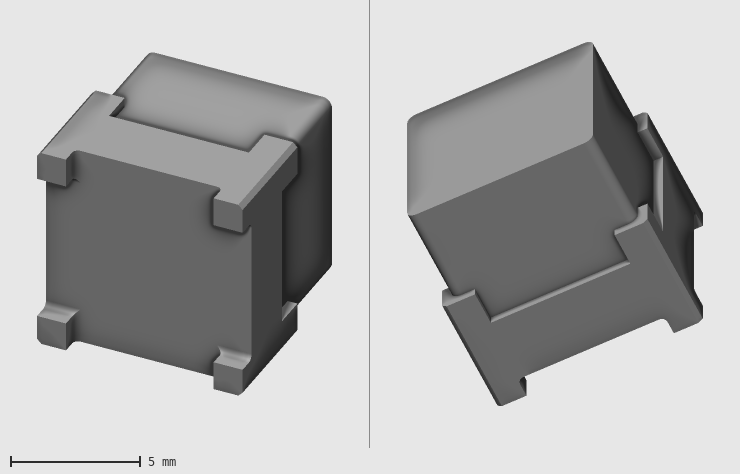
import cadquery as cq

width = 8.79
length = 8.84
front = -length / 2
back = length / 2

base_length = 4.89
base_chamfer = 0.19
foot_height = 0.8
foot_width = 1.24
foot_fillet = 0.25

cover_width = 7.96
cover_radius = 0.41

notch_depth = 1.4
notch_width = 5.98

base_back = front + base_length
seat = front + foot_height


def square_bar(size, y_start, y_end):
    """Square bar centred on the Y axis."""
    return cq.Workplane("XZ", origin=(0, y_start, 0)).rect(size, size).extrude(y_start - y_end)


def foot_row():
    """Two feet in XY, flared by fillets at the seat, running the full height in Z."""
    outer = width / 2
    inner = outer - foot_width
    row = cq.Workplane("XY")
    for side in (-1, 1):
        foot = (
            cq.Workplane("XY", origin=(0, 0, -width / 2))
            .moveTo(side * outer, front)
            .lineTo(side * inner, front)
            .lineTo(side * inner, seat - foot_fillet)
            .radiusArc((side * (inner - foot_fillet), seat), -side * foot_fillet)
            .lineTo(side * outer, seat)
            .close()
            .extrude(width)
        )
        row = row.add(foot)
    return row.combine()


def feet():
    """Corner feet, where two crossing foot rows overlap; their flares meet in mitres."""
    row = foot_row()
    return row.intersect(row.rotate((0, 0, 0), (0, 1, 0), 90))


def rim_notches():
    """One notch through the rim on each of the four sides."""
    along_x = cq.Workplane("XY").box(width, notch_depth, notch_width)
    along_z = cq.Workplane("XY").box(notch_width, notch_depth, width)
    return along_x.union(along_z).translate((0, base_back - notch_depth / 2, 0))


base_envelope = square_bar(width, front, base_back).edges("|Y").chamfer(base_chamfer)
base = square_bar(width, seat, base_back).union(feet()).intersect(base_envelope)
cover = square_bar(cover_width, seat, back).edges("|Y").fillet(cover_radius)
result = base.cut(rim_notches()).union(cover)